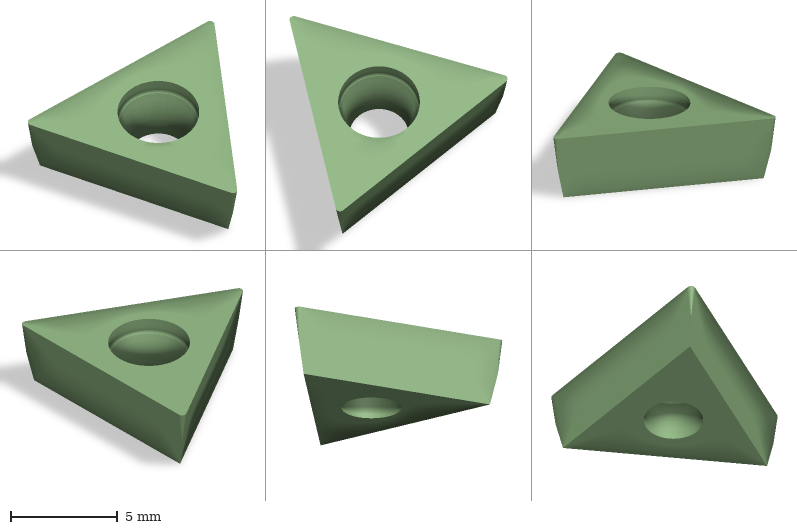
import cadquery as cq
import math

width = 10.71
thickness = 3.17
nose_radius = 0.2
relief_angle = math.radians(7)

bore_radius = 2.8 / 2
mouth_radius = 3.83 / 2
mouth_depth = 0.64
seat_radius = 1.82
seat_top_depth = 0.76
seat_bottom_depth = 2.16
step_bulge = 0.01

nose_inradius = (width - 2 * nose_radius) / (2 * math.sqrt(3))
top_inradius = nose_inradius + nose_radius
bottom_inradius = top_inradius - thickness * math.tan(relief_angle)
nose_depth = nose_radius / math.tan(relief_angle)

first_corner = 210
corner_turns = (0, 120, 240)
corner_angles = [math.radians(first_corner + turn) for turn in corner_turns]
flank_turn = math.radians(60)


def polar(radius, angle):
    return (radius * math.cos(angle), radius * math.sin(angle))


def sharp_triangle(inradius):
    return [polar(2 * inradius, angle) for angle in corner_angles]


def sharp_body():
    """Triangular frustum with relieved flanks and sharp corners."""
    return (
        cq.Workplane("XY")
        .workplane(offset=-thickness)
        .polyline(sharp_triangle(bottom_inradius))
        .close()
        .workplane(offset=thickness)
        .polyline(sharp_triangle(top_inradius))
        .close()
        .loft(ruled=True)
    )


def triangular_face(points):
    return cq.Face.makeFromWires(cq.Wire.makePolygon(points, close=True))


def corner_waste(angle):
    """Material outside the conical nose: a corner pyramid less the nose cone."""
    centre = cq.Vector(*polar(2 * nose_inradius, angle), 0)
    tip = cq.Vector(*polar(2 * top_inradius, angle), 0)
    tangents = [
        centre + cq.Vector(*polar(nose_radius, angle + turn), 0)
        for turn in (-flank_turn, flank_turn)
    ]
    apex = centre - cq.Vector(0, 0, nose_depth)
    rim = [centre, tangents[0], tip, tangents[1]]
    faces = [triangular_face(rim)]
    for start, end in zip(rim, rim[1:] + rim[:1]):
        faces.append(triangular_face([start, end, apex]))
    pyramid = cq.Solid.makeSolid(cq.Shell.makeShell(faces))
    cone = cq.Solid.makeCone(nose_radius, 0, nose_depth, pnt=centre, dir=cq.Vector(0, 0, -1))
    return cq.Workplane(pyramid.cut(cone))


def screw_hole():
    """Straight mouth, rounded step, bell-shaped screw seat and plain bore."""
    seat_drop = seat_bottom_depth - seat_top_depth
    seat_inset = seat_radius - bore_radius
    arc_radius = (seat_drop**2 + seat_inset**2) / (2 * seat_inset)
    half_sweep = math.asin(seat_drop / arc_radius) / 2
    seat_middle = (
        bore_radius + arc_radius * (1 - math.cos(half_sweep)),
        -seat_bottom_depth + arc_radius * math.sin(half_sweep),
    )
    step_middle = (
        (mouth_radius + seat_radius) / 2 + step_bulge,
        -(mouth_depth + seat_top_depth) / 2 - step_bulge,
    )
    return (
        cq.Workplane("XZ")
        .lineTo(mouth_radius, 0)
        .lineTo(mouth_radius, -mouth_depth)
        .threePointArc(step_middle, (seat_radius, -seat_top_depth))
        .threePointArc(seat_middle, (bore_radius, -seat_bottom_depth))
        .lineTo(bore_radius, -thickness)
        .lineTo(0, -thickness)
        .close()
        .revolve(360, (0, 0, 0), (0, 1, 0))
    )


result = sharp_body()
first_waste = corner_waste(math.radians(first_corner))
for turn in corner_turns:
    result = result.cut(first_waste.rotate((0, 0, 0), (0, 0, 1), turn))
result = result.cut(screw_hole())